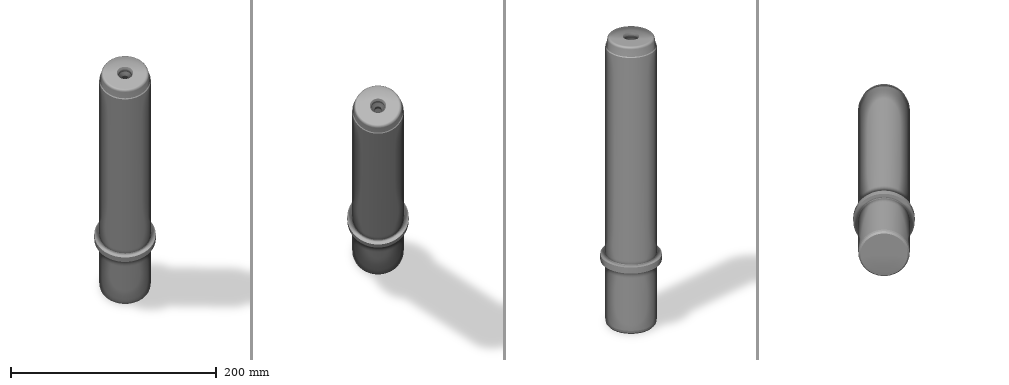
import cadquery as cq

total_height = 315.0
shaft_radius = 50.0 / 2
collar_radius = 30.0

collar_bottom = 70.0
collar_thickness = 6.5
collar_top = collar_bottom + collar_thickness
root_chamfer = 0.5
root_radius = shaft_radius + root_chamfer

lead_in_start = total_height - 9.8
lead_in_base_radius = 24.3
lead_in_top_radius = 22.7
shoulder_chamfer = shaft_radius - lead_in_base_radius
top_edge_fillet = 2.5

lower_band_top = 4.5
lower_band_radius = 24.5
bottom_chamfer_height = 2.0
bottom_face_radius = 23.0

hole_mouth_radius = 8.0
hole_bore_radius = 6.5
hole_pilot_radius = 3.5
mouth_depth = 2.5
bore_depth = 5.7
cone_depth = 8.2
pilot_depth = 12.5


def revolve_profile(profile):
    """Revolve a closed (radius, height) outline about the Z axis."""
    return cq.Workplane("XZ").polyline(profile).close().revolve(360, (0, 0), (0, 1))


def make_pin():
    """Collared pin with its end tapers, root chamfers and rounded top edge."""
    pin = revolve_profile([
        (0, 0),
        (bottom_face_radius, 0),
        (lower_band_radius, bottom_chamfer_height),
        (shaft_radius, lower_band_top),
        (shaft_radius, collar_bottom - root_chamfer),
        (root_radius, collar_bottom),
        (collar_radius, collar_bottom),
        (collar_radius, collar_top),
        (root_radius, collar_top),
        (shaft_radius, collar_top + root_chamfer),
        (shaft_radius, lead_in_start - shoulder_chamfer),
        (lead_in_base_radius, lead_in_start),
        (lead_in_top_radius, total_height),
        (0, total_height),
    ])
    return pin.faces(">Z").edges().fillet(top_edge_fillet)


def make_centre_hole():
    """Countersunk blind bore that narrows through a cone to a pilot."""
    return revolve_profile([
        (0, total_height),
        (hole_mouth_radius, total_height),
        (hole_bore_radius, total_height - mouth_depth),
        (hole_bore_radius, total_height - bore_depth),
        (hole_pilot_radius, total_height - cone_depth),
        (hole_pilot_radius, total_height - pilot_depth),
        (0, total_height - pilot_depth),
    ])


result = make_pin().cut(make_centre_hole())